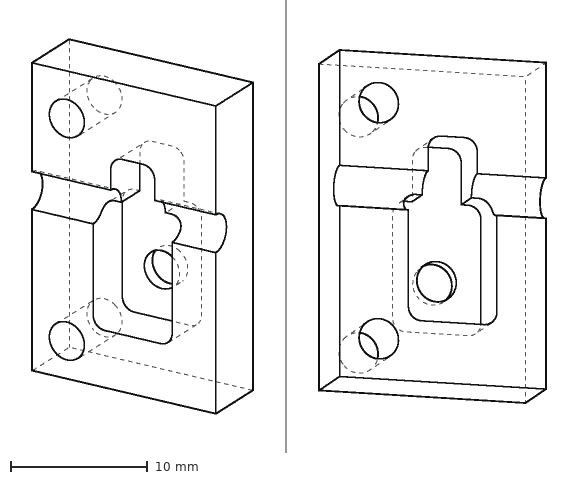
import cadquery as cq

width = 15.75
thickness = 5.25
height = 24.38

hole_diameter = 3.0
side_hole_x = 3.0
lower_hole_z = 3.0
upper_hole_z = 20.63
pocket_hole_z = 8.4

groove_radius = hole_diameter / 2
groove_z = 14.26

pocket_x = 8.63
pocket_depth = 4.1
corner_radius = 1.0
wide_width = 6.75
wide_bottom = 4.53
wide_top = groove_z
narrow_width = 3.75
narrow_top = 18.4


def through_hole(x, z):
    """Cylinder along Y through the whole block."""
    centre = cq.Vector(x, 0, z)
    return cq.Workplane(cq.Solid.makeCylinder(hole_diameter / 2, thickness, centre, cq.Vector(0, 1, 0)))


def rounded_pocket(pocket_width, bottom, top):
    """Rounded rectangular pocket volume, sunk from the front face."""
    return (
        cq.Workplane("XY")
        .box(pocket_width, pocket_depth, top - bottom, centered=(True, False, False))
        .edges("|Y")
        .fillet(corner_radius)
        .translate((pocket_x, 0, bottom))
    )


block = cq.Workplane("XY").box(width, thickness, height, centered=False)

groove = cq.Workplane("YZ").center(0, groove_z).circle(groove_radius).extrude(width)

pocket = rounded_pocket(wide_width, wide_bottom, wide_top).union(
    rounded_pocket(narrow_width, wide_bottom, narrow_top)
)

result = block.cut(groove).cut(pocket)
for hole_x, hole_z in [
    (side_hole_x, lower_hole_z),
    (side_hole_x, upper_hole_z),
    (pocket_x, pocket_hole_z),
]:
    result = result.cut(through_hole(hole_x, hole_z))